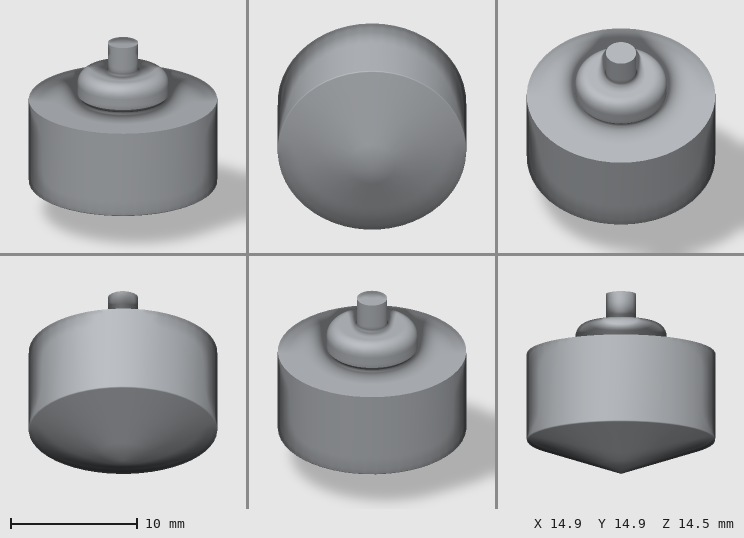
import cadquery as cq
import math

base_radius = 7.45
cone_angle = 20.0
rim_fillet = 0.1
base_top = 9.7
root_fillet = 0.2
neck_radius = 3.32

cap_radius = 7.2 / 2
cap_height = 2.41
cap_top = base_top + cap_height
cap_fillet = 1.0
cap_bottom = base_top + root_fillet
cap_chamfer_height = 0.3
stem_radius = 2.4 / 2
overall_height = 14.5

ARC_MIDDLE = math.sqrt(0.5)


def revolve_profile(profile):
    """Turn a closed half profile (radius, height) about the Z axis."""
    return profile.close().revolve(360, (0, 0, 0), (0, 1, 0))


def add_root_fillet(profile, shaft_radius, floor_height):
    """Concave quarter arc from a vertical shaft down and out to a flat floor."""
    offset = root_fillet * (1 - ARC_MIDDLE)
    return profile.threePointArc(
        (shaft_radius + offset, floor_height + offset),
        (shaft_radius + root_fillet, floor_height),
    )


def make_base():
    slope = math.radians(cone_angle)
    shoulder = base_radius * math.tan(slope)
    setback = rim_fillet * math.tan((math.pi / 2 - slope) / 2)
    arc_center_radius = base_radius - rim_fillet
    arc_center_height = shoulder + setback
    arc_mid_angle = (math.pi / 2 - slope) / 2
    arc_middle = (
        arc_center_radius + rim_fillet * math.cos(arc_mid_angle),
        arc_center_height - rim_fillet * math.sin(arc_mid_angle),
    )
    arc_end = (base_radius - setback * math.cos(slope), shoulder - setback * math.sin(slope))

    profile = cq.Workplane("XZ").moveTo(0, cap_bottom).lineTo(neck_radius, cap_bottom)
    profile = add_root_fillet(profile, neck_radius, base_top)
    profile = (
        profile.lineTo(base_radius, base_top)
        .lineTo(base_radius, arc_center_height)
        .threePointArc(arc_middle, arc_end)
        .lineTo(0, 0)
    )
    return revolve_profile(profile)


def make_plunger():
    profile = (
        cq.Workplane("XZ")
        .moveTo(0, overall_height)
        .lineTo(stem_radius, overall_height)
        .lineTo(stem_radius, cap_top + root_fillet)
    )
    profile = add_root_fillet(profile, stem_radius, cap_top)
    fillet_offset = cap_fillet * (1 - ARC_MIDDLE)
    profile = (
        profile.lineTo(cap_radius - cap_fillet, cap_top)
        .threePointArc(
            (cap_radius - fillet_offset, cap_top - fillet_offset),
            (cap_radius, cap_top - cap_fillet),
        )
        .lineTo(cap_radius, cap_bottom + cap_chamfer_height)
        .lineTo(neck_radius, cap_bottom)
        .lineTo(0, cap_bottom)
    )
    return revolve_profile(profile)


base = make_base()
plunger = make_plunger()

result = cq.Compound.makeCompound([base.val(), plunger.val()])